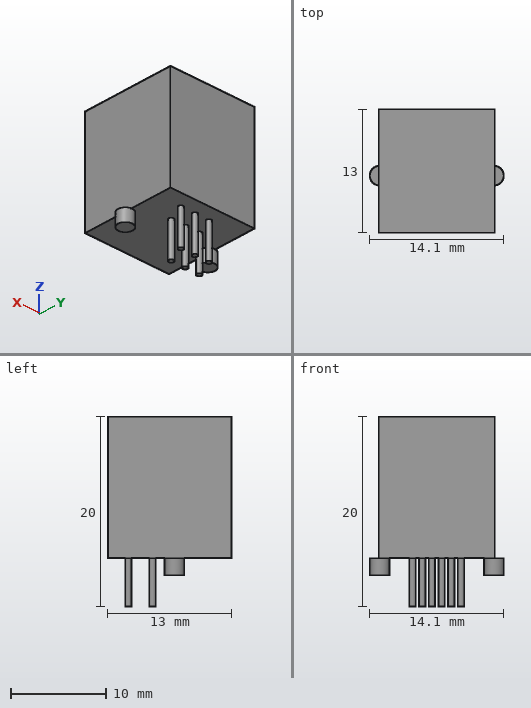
import cadquery as cq

housing_width = 12.23
housing_depth = 13.0
overall_height = 19.98
pin_length = 5.1
housing_height = overall_height - pin_length

overall_width = 14.1
peg_diameter = 2.1
peg_length = 1.8
peg_spacing = overall_width - peg_diameter
peg_y = -0.48

pin_diameter = 0.7
pin_count = 6
pin_pitch = 1.02
rear_row_y = 4.35
row_spacing = 2.54
front_row_y = rear_row_y - row_spacing


def make_housing():
    """Plain rectangular block standing on the Z = 0 plane."""
    return cq.Workplane("XY").box(
        housing_width, housing_depth, housing_height, centered=(True, True, False)
    )


def make_hanging_cylinder(x, y, diameter, length):
    """Round post hanging down from the housing underside."""
    return cq.Workplane("XY").center(x, y).circle(diameter / 2).extrude(-length)


def make_peg(side):
    """Locating peg on the left (-1) or right (+1) side."""
    return make_hanging_cylinder(side * peg_spacing / 2, peg_y, peg_diameter, peg_length)


def make_pin(index):
    """Contact pin counted from the -X end; even pins stand in the front row."""
    x = (index - (pin_count - 1) / 2) * pin_pitch
    y = front_row_y if index % 2 == 0 else rear_row_y
    return make_hanging_cylinder(x, y, pin_diameter, pin_length)


housing = make_housing()
pegs = [make_peg(side) for side in (-1, 1)]
pins = [make_pin(index) for index in range(pin_count)]

result = cq.Compound.makeCompound(
    [housing.val(), *[peg.val() for peg in pegs], *[pin.val() for pin in pins]]
)